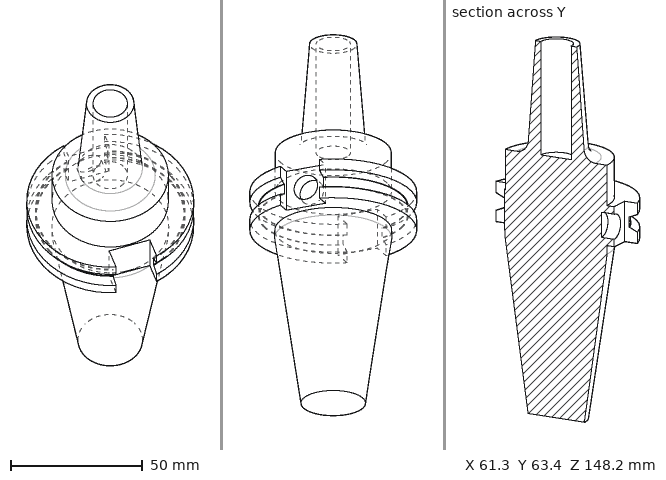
import cadquery as cq
import math

total_height = 148.2
gauge_level = 68.2
flange_bottom = 71.3
flange_thickness = 16.0
flange_top = flange_bottom + flange_thickness
flange_middle = flange_bottom + flange_thickness / 2
shoulder_level = 103.3

body_radius = 22.1

shank_radius = 22.2
shank_taper = 7 / 24
shank_end_radius = shank_radius - gauge_level * shank_taper / 2

flange_radius = 31.7
groove_floor_radius = 28.2
groove_floor_width = 4.0
groove_mouth_width = 7.0
groove_ledge_width = 0.3
groove_ledge_radius = groove_floor_radius + groove_ledge_width

slot_width = 16.3
left_slot_face = 25.2
right_slot_face = 22.5
slot_hole_diameter = 9.8
slot_hole_depth = 5.5

nose_tip_radius = 9.0
nose_angle = math.radians(4.5)
root_fillet = 4.9
bore_diameter = 13.0
bore_depth = total_height - shoulder_level

fillet_start_level = shoulder_level + root_fillet * (1 - math.sin(nose_angle))
fillet_start_radius = nose_tip_radius + (total_height - fillet_start_level) * math.tan(nose_angle)
fillet_end_radius = fillet_start_radius + root_fillet * math.cos(nose_angle)


def fillet_midpoint():
    """Point halfway along the root fillet, in the radius-height plane."""
    middle_angle = (nose_angle + math.pi / 2) / 2
    radius = fillet_end_radius - root_fillet * math.cos(middle_angle)
    height = shoulder_level + root_fillet * (1 - math.sin(middle_angle))
    return radius, height


def turned_body():
    """Shank, flange, body and nose as one revolved profile."""
    profile = (
        cq.Workplane("XZ")
        .lineTo(shank_end_radius, 0)
        .lineTo(shank_radius, gauge_level)
        .lineTo(shank_radius, flange_bottom)
        .lineTo(flange_radius, flange_bottom)
        .lineTo(flange_radius, flange_middle - groove_mouth_width / 2)
        .lineTo(groove_ledge_radius, flange_middle - groove_floor_width / 2)
        .lineTo(groove_floor_radius, flange_middle - groove_floor_width / 2)
        .lineTo(groove_floor_radius, flange_middle + groove_floor_width / 2)
        .lineTo(groove_ledge_radius, flange_middle + groove_floor_width / 2)
        .lineTo(flange_radius, flange_middle + groove_mouth_width / 2)
        .lineTo(flange_radius, flange_top)
        .lineTo(body_radius, flange_top)
        .lineTo(body_radius, shoulder_level)
        .lineTo(fillet_end_radius, shoulder_level)
        .threePointArc(fillet_midpoint(), (fillet_start_radius, fillet_start_level))
        .lineTo(nose_tip_radius, total_height)
        .lineTo(0, total_height)
        .close()
    )
    return profile.revolve(360, (0, 0, 0), (0, 1, 0))


def drive_slot(face_distance, side):
    """Slot through the flange; side is -1 for -X and +1 for +X."""
    slot_depth = flange_radius - face_distance
    slot_centre = side * (face_distance + slot_depth / 2)
    return (
        cq.Workplane("XY", origin=(slot_centre, 0, flange_middle))
        .box(slot_depth, slot_width, flange_thickness)
    )


def slot_hole():
    """Blind hole running inward from the face of the -X slot."""
    return (
        cq.Workplane("YZ", origin=(-left_slot_face, 0, flange_middle))
        .circle(slot_hole_diameter / 2)
        .extrude(slot_hole_depth)
    )


def nose_bore():
    """Blind bore down from the tip of the nose."""
    return (
        cq.Workplane("XY", origin=(0, 0, total_height))
        .circle(bore_diameter / 2)
        .extrude(-bore_depth)
    )


result = (
    turned_body()
    .cut(drive_slot(left_slot_face, -1))
    .cut(drive_slot(right_slot_face, 1))
    .cut(slot_hole())
    .cut(nose_bore())
)